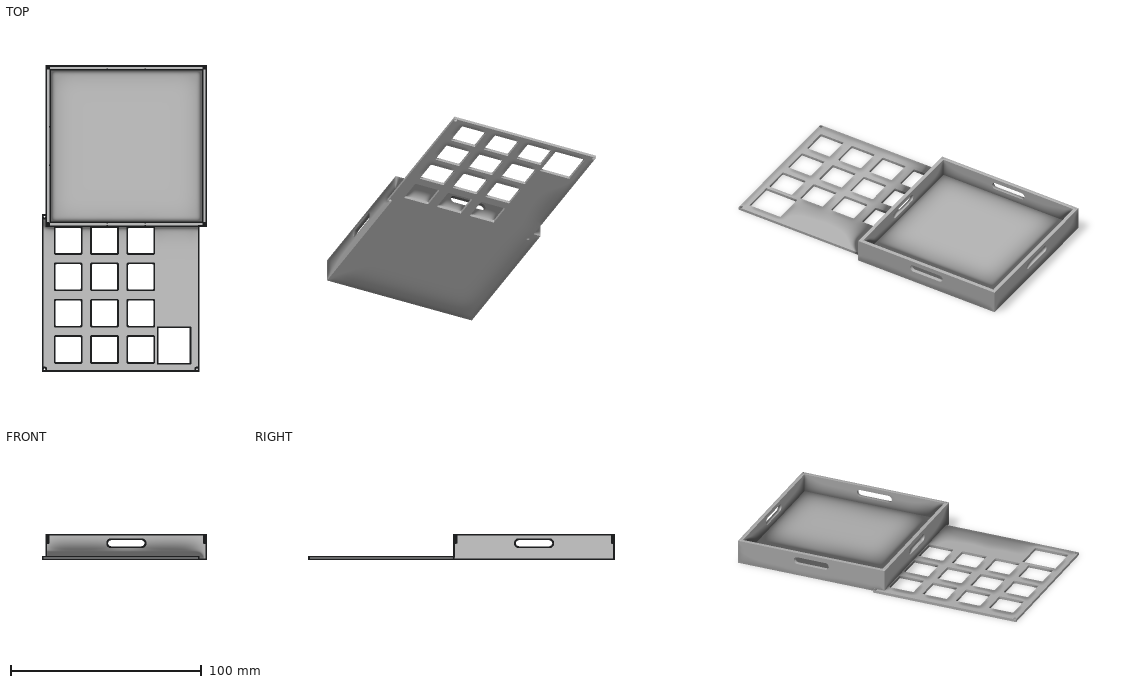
import cadquery as cq

TRAY_SIDE = 84.0
TRAY_HEIGHT = 13.0
WALL = 2.0
FLOOR = 3.0

SLOT_LENGTH = 20.0
SLOT_HEIGHT = 4.0
SLOT_MID_Z = 8.5

THREAD_MINOR_DIAMETER = 0.97
THREAD_MAJOR_DIAMETER = 1.25
THREAD_PITCH = 0.25
THREAD_TURNS = 18
HOLE_INSET = 1.0

PLATE_SIDE = 82.0
PLATE_THICKNESS = 1.5
OVERALL_LENGTH_Y = 160.09
PLATE_OVERHANG_X = 1.92
PLATE_HOLE_DIAMETER = 1.8

KEY_WINDOW = 14.0
KEY_PITCH = 19.05
KEY_COLUMNS = 3
KEY_ROWS = 4
FIRST_KEY_X = 13.425
FIRST_KEY_Y = 11.375
KEY_CORNER_RADIUS = 0.5

LARGE_WINDOW_X = 17.0
LARGE_WINDOW_Y = 19.0
LARGE_MID_X = 69.0
LARGE_MID_Y = 13.5

plate_left = -TRAY_SIDE / 2 - PLATE_OVERHANG_X
plate_front = TRAY_SIDE / 2 - OVERALL_LENGTH_Y
plate_mid = (plate_left + PLATE_SIDE / 2, plate_front + PLATE_SIDE / 2)


def plate_blank():
    """Plain plate, also the shape of the recess that it fills in the tray."""
    return (
        cq.Workplane("XY")
        .center(*plate_mid)
        .rect(PLATE_SIDE, PLATE_SIDE)
        .extrude(PLATE_THICKNESS)
    )


def corner_points(side):
    """Hole centres in the corners of a square centred on the origin."""
    offset = side / 2 - HOLE_INSET
    return [(x, y) for x in (-offset, offset) for y in (-offset, offset)]


def threaded_hole():
    """Cutter for one screw hole, centred on the Z axis and reaching down from the rim."""
    minor = THREAD_MINOR_DIAMETER / 2
    major = THREAD_MAJOR_DIAMETER / 2
    profile = [(0, 0), (minor, 0)]
    for turn in range(THREAD_TURNS):
        profile.append((major, -(turn + 0.5) * THREAD_PITCH))
        profile.append((minor, -(turn + 1) * THREAD_PITCH))
    profile.append((0, -THREAD_TURNS * THREAD_PITCH))
    return (
        cq.Workplane("XZ", origin=(0, 0, TRAY_HEIGHT))
        .polyline(profile)
        .close()
        .revolve(360, (0, 0, 0), (0, 1, 0))
    )


def hand_slot(plane):
    """Round-ended cutter through the two walls that face along the plane's normal."""
    return (
        cq.Workplane(plane)
        .center(0, SLOT_MID_Z)
        .slot2D(SLOT_LENGTH, SLOT_HEIGHT)
        .extrude(TRAY_SIDE, both=True)
    )


def window(x, y, size_x, size_y):
    """Rectangular cutter centred at a place measured from the plate's front left corner."""
    return (
        cq.Workplane("XY")
        .center(plate_left + x, plate_front + y)
        .rect(size_x, size_y)
        .extrude(PLATE_THICKNESS)
    )


def make_tray():
    cavity_side = TRAY_SIDE - 2 * WALL
    tray = cq.Workplane("XY").rect(TRAY_SIDE, TRAY_SIDE).extrude(TRAY_HEIGHT)
    cavity = cq.Workplane("XY", origin=(0, 0, FLOOR)).rect(cavity_side, cavity_side).extrude(TRAY_HEIGHT)
    tray = tray.cut(cavity)
    for plane in ("XZ", "YZ"):
        tray = tray.cut(hand_slot(plane))
    for x, y in corner_points(TRAY_SIDE):
        tray = tray.cut(threaded_hole().translate((x, y, 0)))
    return tray.cut(plate_blank())


def make_key_plate():
    plate = plate_blank()
    for column in range(KEY_COLUMNS):
        for row in range(KEY_ROWS):
            x = FIRST_KEY_X + column * KEY_PITCH
            y = FIRST_KEY_Y + row * KEY_PITCH
            key = window(x, y, KEY_WINDOW, KEY_WINDOW).edges("|Z").fillet(KEY_CORNER_RADIUS)
            plate = plate.cut(key)
    plate = plate.cut(window(LARGE_MID_X, LARGE_MID_Y, LARGE_WINDOW_X, LARGE_WINDOW_Y))
    screw_holes = (
        cq.Workplane("XY")
        .center(*plate_mid)
        .pushPoints(corner_points(PLATE_SIDE))
        .circle(PLATE_HOLE_DIAMETER / 2)
        .extrude(PLATE_THICKNESS)
    )
    return plate.cut(screw_holes)


tray = make_tray()
key_plate = make_key_plate()
result = cq.Compound.makeCompound([tray.val(), key_plate.val()])